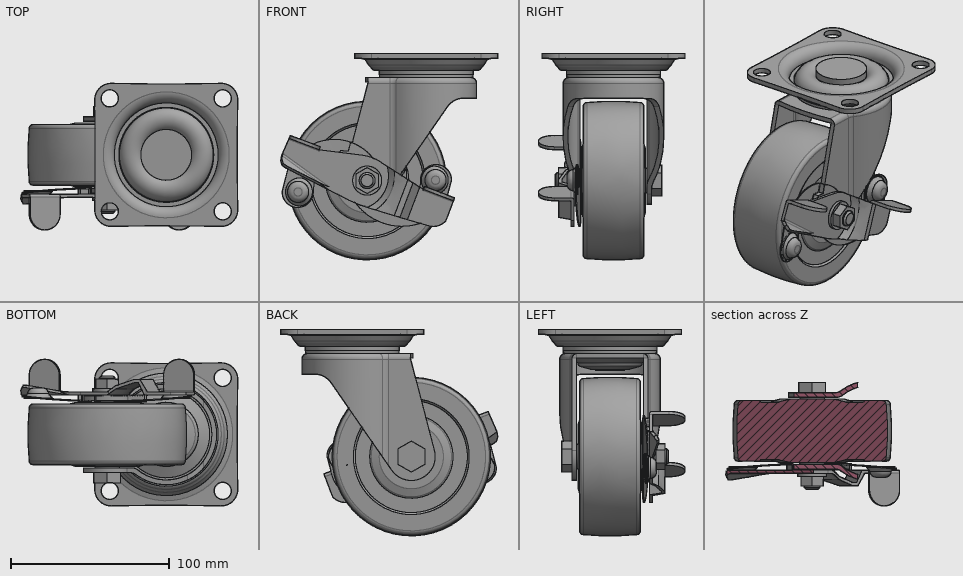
import cadquery as cq
import math


plate_size = 90.7
plate_thickness = 3.1
plate_corner_radius = 10.5
plate_side_sag = 0.7
plate_hole_offset = 35.5
plate_hole_radius = 5.3
bowl_rim_radius = 39.6
bowl_depth = 10.8
bowl_hole_radius = 29.9
bowl_floor_radius = 32.6
bowl_floor_z = -7.4
bowl_flare_radius = 41.8
bowl_overlap_z = -1.4

sheet_thickness = 3.0
fork_top_z = -15.2
leg_outer_y = 24.0
fork_radius = 31.7
fork_bend_radius = 3.7
flare_radius = 6.0
fork_left_x = -36.6
fork_edge_bulge = 1.6
leg_end_radius = 15.0
skirt_bottom_z = -28.3
skirt_corner_x = 17.1
skirt_corner_radius = 12.3
head_radius = 29.6
kingpin_radius = 16.0
head_seam_z = -13.3
head_collar_radius = 29.5
race_top_radius = 27.3
race_radius = 20.2
race_top_z = -21.0
race_bottom_z = -25.1
rivet_radius = 9.2
rivet_end_z = -26.0

axle_x = -37.2
axle_z = -80.0
wheel_radius = 50.0
wheel_half_width = 19.1
tread_edge_radius = 49.2
tread_fillet = 2.5
web_y = 18.0
web_rim_radius = 36.5
web_outer_radius = 35.2
hub_root_radius = 26.2
hub_face_radius = 20.2
spacer_radius = 7.8
hub_face_y = 20.1

axle_radius = 5.0
head_across_corners = 19.5
head_height = 6.4
nut_across_corners = 16.4
nut_end_y = -34.7
nut_flange_radius = 9.2
nut_flange_height = 2.0
bolt_end_y = -36.7
bolt_chamfer = 1.2

spring_thickness = 0.7
lever_thickness = 2.0
lever_tilt = 20.8
lever_half_length = 55.3
tab_width = 20.2
tab_t = 9.4
tab_bend_radius = 1.9
tab_inner_radius = 0.7
tab_tip_y = -47.3
ridge_y = -34.5
lip_length = 6.7
lip_angle = 45.0
lip_bend_radius = 2.0
lip_outer_end = (-56.0, -4.5)
lip_inner_end = (-20.5, -14.1)
ridge_foot_s = 12.8
ridge_foot_end_s = 3.5
ridge_shoulder_s = 16.5
ridge_shoulder_end_s = 9.5
ridge_shoulder_height = 3.8
ridge_crest_s = 23.8
ridge_crest_end_s = 27.5
ridge_drop_s = 30.3
ridge_reach = 17.8
spring_wing_y = -20.5
spring_tip_y = -24.0
spring_reach = 57.4
spring_leg_gap = 0.4
button_base_y = -22.4
button_tip_y = -29.2
button_base_radius = 9.0
button_base_thickness = 0.5
button_tip_radius = 2.6
button_places = [(-43.5, -7.1), (43.0, 0.3)]

fork_inner_z = fork_top_z - sheet_thickness
fork_plan_left_x = axle_x - leg_end_radius - sheet_thickness
leg_inner_y = leg_outer_y - sheet_thickness
lever_inner_y = -leg_outer_y - spring_thickness
lever_outer_y = lever_inner_y - lever_thickness


def axle_plane(y, tilt=0.0):
    """Plane at position y centred on the axle, facing -Y, its x axis tilted down by tilt degrees."""
    angle = math.radians(tilt)
    return cq.Plane((axle_x, y, axle_z), (math.cos(angle), 0, -math.sin(angle)), (0, -1, 0))


def axle_cylinder(radius, y_from, y_to):
    """Cylinder on the axle line between two Y positions, y_from being the larger."""
    return cq.Workplane(axle_plane(y_from)).circle(radius).extrude(y_from - y_to)


def make_plate():
    half = plate_size / 2
    inset = half - plate_side_sag
    plate = (
        cq.Workplane("XY")
        .moveTo(-half, -half)
        .threePointArc((0, -inset), (half, -half))
        .threePointArc((inset, 0), (half, half))
        .threePointArc((0, inset), (-half, half))
        .threePointArc((-inset, 0), (-half, -half))
        .close()
        .extrude(-plate_thickness)
        .edges("|Z")
        .fillet(plate_corner_radius)
    )
    holes = (
        cq.Workplane("XY")
        .rect(2 * plate_hole_offset, 2 * plate_hole_offset, forConstruction=True)
        .vertices()
        .circle(plate_hole_radius)
        .extrude(-plate_thickness)
    )
    opening = cq.Workplane("XY").circle(bowl_rim_radius).extrude(-plate_thickness)
    bowl = (
        cq.Workplane("XZ")
        .moveTo(bowl_rim_radius, 0)
        .threePointArc((34.5, -2.2), (bowl_floor_radius, bowl_floor_z))
        .lineTo(bowl_hole_radius, bowl_floor_z)
        .lineTo(bowl_hole_radius, -bowl_depth)
        .lineTo(bowl_floor_radius, -bowl_depth)
        .threePointArc((33.7, -10.2), (34.7, -9.2))
        .lineTo(36.5, -7.2)
        .lineTo(38.5, -4.0)
        .lineTo(bowl_flare_radius, -plate_thickness)
        .lineTo(bowl_flare_radius, bowl_overlap_z)
        .lineTo(bowl_rim_radius, bowl_overlap_z)
        .close()
        .revolve(360, (0, 0, 0), (0, 1, 0))
    )
    return plate.cut(holes).cut(opening).union(bowl)


def fork_plan(inset, left_x):
    """Block with the fork's plan, moved inward by inset: flat legs that open into a round skirt."""
    radius = fork_radius - inset
    half_width = leg_outer_y - inset
    corner_x = -math.sqrt(radius**2 - half_width**2)
    top_z = fork_top_z - inset
    bottom_z = axle_z - leg_end_radius - sheet_thickness
    block = (
        cq.Workplane("XY", origin=(0, 0, top_z))
        .moveTo(left_x, half_width)
        .lineTo(corner_x, half_width)
        .threePointArc((radius, 0), (corner_x, -half_width))
        .lineTo(left_x, -half_width)
        .close()
        .extrude(bottom_z - top_z)
    )
    for side in (-1, 1):
        corner = (corner_x, side * half_width, (top_z + bottom_z) / 2)
        block = block.edges(cq.NearestToPointSelector(corner)).fillet(flare_radius)
    return block


def tangent_point(x, z, side):
    """Point where the line from (x, z) touches the round leg end; side is -1 left, +1 right."""
    dx = x - axle_x
    dz = z - axle_z
    angle = math.atan2(dz, dx) - side * math.acos(leg_end_radius / math.hypot(dx, dz))
    return axle_x + leg_end_radius * math.cos(angle), axle_z + leg_end_radius * math.sin(angle)


def fork_side_outline(origin_y):
    """Side outline of the fork, from its slanted left edge round the leg end to the skirt."""
    return (
        cq.Workplane("XZ", origin=(0, origin_y, 0))
        .moveTo(fork_left_x, fork_top_z)
        .lineTo(fork_left_x, fork_inner_z)
        .lineTo(*tangent_point(fork_left_x, fork_inner_z, -1))
        .threePointArc(
            (axle_x, axle_z - leg_end_radius),
            tangent_point(skirt_corner_x, skirt_bottom_z, 1),
        )
        .lineTo(skirt_corner_x, skirt_bottom_z)
        .lineTo(fork_radius, skirt_bottom_z)
        .lineTo(fork_radius, fork_top_z)
        .close()
    )


def fork_side_profile():
    """Side outline of the fork as a block that runs through its full width."""
    return (
        fork_side_outline(fork_radius)
        .extrude(2 * fork_radius)
        .edges(cq.NearestToPointSelector((skirt_corner_x, 0, skirt_bottom_z)))
        .fillet(skirt_corner_radius)
    )


def make_swivel_head():
    """Rounded ring and kingpin above the fork, and the clamped race below its top."""
    return (
        cq.Workplane("XZ")
        .moveTo(0, 0)
        .lineTo(kingpin_radius, 0)
        .lineTo(kingpin_radius, -4.6)
        .threePointArc((22.1, -1.6), (head_radius, -8.2))
        .lineTo(head_radius, head_seam_z)
        .lineTo(head_collar_radius, head_seam_z)
        .lineTo(head_collar_radius, fork_top_z)
        .lineTo(race_top_radius, fork_top_z)
        .lineTo(race_top_radius, fork_inner_z)
        .lineTo(race_radius, race_top_z)
        .threePointArc((19.7, -22.7), (18.3, -23.5))
        .lineTo(12.3, race_bottom_z)
        .lineTo(rivet_radius, race_bottom_z)
        .lineTo(rivet_radius, rivet_end_z)
        .lineTo(0, rivet_end_z)
        .close()
        .revolve(360, (0, 0, 0), (0, 1, 0))
    )


def make_fork():
    outer = fork_plan(0, fork_plan_left_x).faces(">Z").edges().fillet(fork_bend_radius)
    inner = fork_plan(sheet_thickness, fork_plan_left_x - sheet_thickness)
    fork = outer.cut(inner).intersect(fork_side_profile())
    edge_bulge = (
        cq.Workplane("XY", origin=(0, 0, fork_top_z))
        .moveTo(fork_left_x, leg_inner_y)
        .threePointArc((fork_left_x - fork_edge_bulge, 0), (fork_left_x, -leg_inner_y))
        .close()
        .extrude(-sheet_thickness)
    )
    fork = fork.union(edge_bulge).union(make_swivel_head())
    return fork.cut(axle_cylinder(axle_radius, leg_outer_y, -leg_outer_y))


def make_wheel():
    half = wheel_half_width
    tread_y = half - tread_fillet
    face_radius = tread_edge_radius - tread_fillet
    mid_angle = math.radians(45)
    fillet_mid = (
        face_radius + tread_fillet * math.cos(mid_angle),
        tread_y + tread_fillet * math.sin(mid_angle),
    )
    side = [
        (web_rim_radius, half),
        (web_outer_radius, web_y),
        (hub_root_radius, web_y),
        (25.3, 18.6),
        (hub_face_radius, hub_face_y),
        (spacer_radius, hub_face_y),
        (spacer_radius, leg_inner_y),
        (axle_radius, leg_inner_y),
    ]
    profile = (
        cq.Workplane("XY", origin=(axle_x, 0, axle_z))
        .moveTo(tread_edge_radius, -tread_y)
        .threePointArc((wheel_radius, 0), (tread_edge_radius, tread_y))
        .threePointArc(fillet_mid, (face_radius, half))
    )
    for radius, y in side:
        profile = profile.lineTo(radius, y)
    for radius, y in reversed(side):
        profile = profile.lineTo(radius, -y)
    return (
        profile.lineTo(face_radius, -half)
        .threePointArc((fillet_mid[0], -fillet_mid[1]), (tread_edge_radius, -tread_y))
        .close()
        .revolve(360, (0, 0, 0), (0, 1, 0))
    )


def hexagon(across_corners, y_from, y_to):
    """Hexagonal prism on the axle line with corners at top and bottom."""
    return (
        cq.Workplane(axle_plane(y_from))
        .transformed(rotate=(0, 0, 30))
        .polygon(6, across_corners)
        .extrude(y_from - y_to)
    )


def make_axle():
    shank = axle_cylinder(axle_radius, leg_outer_y, bolt_end_y).faces("<Y").chamfer(bolt_chamfer)
    head = hexagon(head_across_corners, leg_outer_y + head_height, leg_outer_y)
    flange_end_y = lever_outer_y - nut_flange_height
    flange = axle_cylinder(nut_flange_radius, lever_outer_y, flange_end_y)
    nut = hexagon(nut_across_corners, flange_end_y, nut_end_y)
    return shank.union(head).union(flange).union(nut)



def spring_outline():
    """Block with the outline of two curved arms that have round ends."""
    return (
        cq.Workplane(axle_plane(0))
        .moveTo(3.8, 14.0)
        .threePointArc((-13.7, 25.1), (-33.7, 23.1))
        .threePointArc((-44.0, 16.4), (-50.0, 7.1))
        .lineTo(-53.5, -7.1)
        .threePointArc((-43.7, -17.0), (-33.9, -7.1))
        .lineTo(-33.0, 2.0)
        .lineTo(-13.7, -5.5)
        .lineTo(-7.6, -13.7)
        .threePointArc((11.7, -27.3), (33.7, -26.8))
        .threePointArc((46.5, -18.6), (50.8, -8.2))
        .lineTo(53.1, 0.3)
        .threePointArc((43.3, 10.1), (33.5, 0.3))
        .lineTo(33.3, -4.4)
        .lineTo(24.9, -1.4)
        .lineTo(24.9, 7.6)
        .lineTo(17.8, 2.7)
        .close()
        .extrude(-lever_outer_y)
    )


def spring_sheet():
    """Wings beside the wheel, bent outward at both ends, and a shallow cup that fits over the leg."""
    outer_tip_y = spring_tip_y - spring_thickness
    outer_wing_y = spring_wing_y - spring_thickness
    wings = (
        cq.Workplane("XY", origin=(axle_x, 0, axle_z))
        .moveTo(-spring_reach, spring_tip_y)
        .threePointArc((0, spring_wing_y), (spring_reach, spring_tip_y))
        .lineTo(spring_reach, outer_tip_y)
        .threePointArc((0, outer_wing_y), (-spring_reach, outer_tip_y))
        .close()
        .extrude(spring_reach, both=True)
    )
    gap = spring_leg_gap
    recess = fork_side_outline(spring_wing_y).offset2D(gap).extrude(leg_outer_y + spring_wing_y)
    cup = (
        fork_side_outline(spring_wing_y)
        .offset2D(gap + spring_thickness)
        .extrude(spring_wing_y - lever_inner_y)
    )
    return wings.union(cup).cut(recess)


def make_button(x, z):
    """Domed button with a flat tip, centred at (x, z) from the axle."""
    return (
        cq.Workplane("XY", origin=(axle_x + x, 0, axle_z + z))
        .moveTo(0, button_base_y)
        .lineTo(button_base_radius, button_base_y)
        .lineTo(button_base_radius, button_base_y - button_base_thickness)
        .threePointArc((7.6, -24.3), (6.7, -25.5))
        .threePointArc((5.5, -28.1), (button_tip_radius, button_tip_y))
        .lineTo(0, button_tip_y)
        .close()
        .revolve(360, (0, 0, 0), (0, 1, 0))
    )


def make_spring(fork, lever):
    spring = spring_sheet().intersect(spring_outline())
    for x, z in button_places:
        spring = spring.union(make_button(x, z))
    tab = (
        cq.Workplane(axle_plane(spring_wing_y))
        .polyline([(-18.3, 16.4), (-16.7, 18.9), (-11.7, 18.6), (-11.7, 15.8)])
        .close()
        .extrude(spring_wing_y - lever_inner_y)
    )
    spring = spring.union(tab).cut(fork).cut(lever)
    return spring.cut(axle_cylinder(axle_radius, 0, lever_inner_y))


def lever_outline():
    """Flat outline of the lever as a block deep enough to hold its ridge."""
    end = lever_half_length
    fold_t = tab_t - lever_thickness
    return (
        cq.Workplane(axle_plane(lever_inner_y, lever_tilt))
        .moveTo(-end, fold_t)
        .lineTo(tab_width - end, fold_t)
        .lineTo(-8.2, 14.0)
        .threePointArc((-1.4, 14.6), (5.5, 13.5))
        .lineTo(end - tab_width, fold_t)
        .lineTo(end, fold_t)
        .lineTo(end, -5.9)
        .threePointArc((52.5, -10.2), (47.5, -12.7))
        .lineTo(31.4, -14.1)
        .lineTo(6.8, -15.7)
        .threePointArc((-2.7, -15.8), (-12.3, -14.9))
        .lineTo(*lip_inner_end)
        .lineTo(*lip_outer_end)
        .close()
        .extrude(lever_inner_y - ridge_y)
    )


def make_tab(s_start):
    """Round-ended foot tab folded outward from the top edge of the lever."""
    plane = axle_plane(lever_inner_y, lever_tilt)
    radius = tab_width / 2
    straight = lever_inner_y - tab_tip_y - radius
    tab = (
        cq.Workplane(plane)
        .center(s_start + radius, tab_t - lever_thickness / 2)
        .rect(tab_width, lever_thickness)
        .extrude(straight)
        .edges(cq.NearestToPointSelector(plane.toWorldCoords((s_start + radius, tab_t, 0)).toTuple()))
        .fillet(tab_bend_radius)
    )
    round_end = (
        cq.Workplane(plane)
        .transformed(offset=(s_start + radius, tab_t, straight), rotate=(90, 0, 0))
        .circle(radius)
        .extrude(lever_thickness)
    )
    return tab.union(round_end)


def ridge_line(s_middle, s_end, height):
    """Edge across the lever at a height above its inner face, curved when the two s values differ."""
    plane = axle_plane(lever_inner_y, lever_tilt)
    start, middle, end = (
        plane.toWorldCoords(point)
        for point in ((s_end, -ridge_reach, height), (s_middle, 0, height), (s_end, ridge_reach, height))
    )
    if s_middle == s_end:
        return cq.Edge.makeLine(start, end)
    return cq.Edge.makeThreePointArc(start, middle, end)


def make_ridge():
    """Pressed ridge: steep arc near the nut, slope to a straight crest, then a steep drop."""
    rise = lever_outer_y - ridge_y
    foot = ridge_line(ridge_foot_s, ridge_foot_end_s, 0)
    shoulder = ridge_line(ridge_shoulder_s, ridge_shoulder_end_s, ridge_shoulder_height)
    crest = ridge_line(ridge_crest_s, ridge_crest_s, rise)
    top = rise + lever_thickness
    drop_section = [(ridge_crest_s, rise), (ridge_crest_s, top), (ridge_crest_end_s, top)]
    drop_section += [(ridge_drop_s + lever_thickness, lever_thickness), (ridge_drop_s + lever_thickness, 0)]
    drop_section += [(ridge_drop_s, 0), (ridge_crest_end_s - lever_thickness / 2, rise)]
    ridge = (
        cq.Workplane(axle_plane(lever_inner_y, lever_tilt))
        .transformed(offset=(0, ridge_reach, 0), rotate=(90, 0, 0))
        .polyline(drop_section)
        .close()
        .extrude(2 * ridge_reach)
    )
    for lower, upper in ((foot, shoulder), (shoulder, crest)):
        slope = cq.Face.makeRuledSurface(lower, upper)
        ridge = ridge.union(cq.Workplane(cq.Solid.extrudeLinear(slope, cq.Vector(0, -lever_thickness, 0))))
    return ridge


def ridge_footprint():
    """Region of the flat lever that the ridge replaces."""
    return (
        cq.Workplane(axle_plane(lever_inner_y, lever_tilt))
        .moveTo(ridge_foot_end_s, -ridge_reach)
        .threePointArc((ridge_foot_s, 0), (ridge_foot_end_s, ridge_reach))
        .lineTo(ridge_drop_s, ridge_reach)
        .lineTo(ridge_drop_s, -ridge_reach)
        .close()
        .extrude(lever_thickness)
    )


def make_lip():
    """Tapered lip bent outward along the lower left edge of the lever."""
    plane = axle_plane(lever_inner_y, lever_tilt)
    start = plane.toWorldCoords((*lip_outer_end, 0))
    end = plane.toWorldCoords((*lip_inner_end, 0))
    along = (end - start).normalized()
    outward = cq.Vector(0, -1, 0)
    down = along.cross(outward)
    angle = math.radians(lip_angle)
    across = down * math.cos(angle) + outward * math.sin(angle)
    normal = along.cross(across)
    length = (end - start).Length
    return (
        cq.Workplane(cq.Plane(start, along, normal))
        .polyline([(0, 0), (length, 0), (6.5, lip_length), (3.8, lip_length), (1.5, 4.1)])
        .close()
        .extrude(-lever_thickness)
    )


def make_lever(fork):
    plane = axle_plane(lever_inner_y, lever_tilt)
    outline = lever_outline()
    flat = outline.intersect(axle_cylinder(2 * lever_half_length, lever_inner_y, lever_outer_y))
    lever = flat.cut(ridge_footprint()).union(outline.intersect(make_ridge()))
    for s_start in (-lever_half_length, lever_half_length - tab_width):
        fold = plane.toWorldCoords((s_start + tab_width / 2, tab_t - lever_thickness, lever_thickness))
        lever = lever.union(make_tab(s_start))
        lever = lever.edges(cq.NearestToPointSelector(fold.toTuple())).fillet(tab_inner_radius)
    lever = lever.union(make_lip())
    bend_s = (lip_outer_end[0] + lip_inner_end[0]) / 2
    bend_t = (lip_outer_end[1] + lip_inner_end[1]) / 2
    bend = plane.toWorldCoords((bend_s, bend_t, lever_thickness))
    lever = lever.edges(cq.NearestToPointSelector(bend.toTuple())).fillet(lip_bend_radius)
    return lever.cut(axle_cylinder(axle_radius, lever_inner_y, lever_outer_y)).cut(fork)


plate = make_plate()
fork = make_fork()
wheel = make_wheel()
axle = make_axle()
lever = make_lever(fork)
spring = make_spring(fork, lever)

bodies = [plate, fork, wheel, axle, spring, lever]
result = cq.Compound.makeCompound([body.solids().val() for body in bodies])